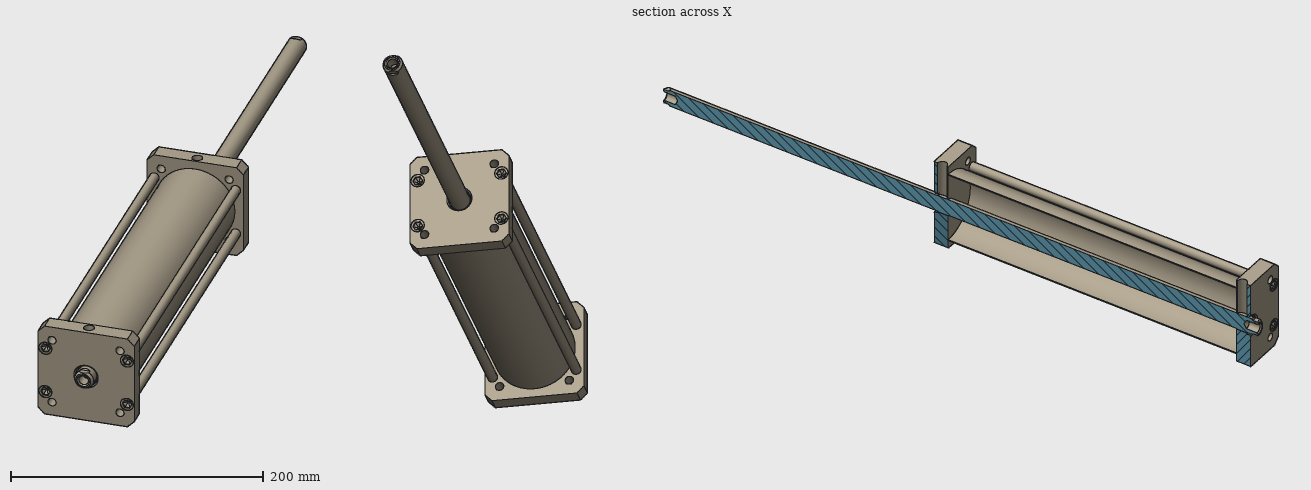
import cadquery as cq
import math

overall_length = 565.0
front_stickout = 7.5
cap_thickness = 13.5
tube_length = 273.5
cap_stack_length = tube_length + 2 * cap_thickness
stack_middle = (0, cap_stack_length / 2, 0)

cap_side = 80.0
cap_corner_chamfer = 5.5
port_diameter = 8.5
port_from_inner_face = 5.5
mount_hole_diameter = 7.0
mount_hole_offset = 28.0

tube_outer_diameter = 66.0
tube_bore = 63.0

tie_diameter = 8.0
tie_offset_x = 34.0
tie_offset_z = 20.0
tie_head_diameter = 11.0
tie_recess_depth = 5.5
tie_head_setback = 0.5
tie_socket_width = 7.0
tie_socket_depth = 1.0
tie_socket_point_length = 2.0
tie_socket_point_taper = 50.0

rod_diameter = 16.0
rod_flat_width = 13.5
rod_flat_length = 5.0
rod_chamfer_length = 2.0
rod_chamfer_radial = 1.5
rod_hole_diameter = 8.0
rod_hole_mouth_diameter = 10.0
rod_hole_depth = 11.5
rod_hole_tip_length = 2.0

gland_mouth_diameter = 20.5
gland_bore_diameter = 18.0
gland_depth = 3.5

axis_point = [(0, 0)]


def four_points(offset_x, offset_z):
    """Four (x, z) points placed symmetrically about the Y axis."""
    return [(x, z) for x in (-offset_x, offset_x) for z in (-offset_z, offset_z)]


tie_points = four_points(tie_offset_x, tie_offset_z)
mount_points = four_points(mount_hole_offset, mount_hole_offset)


def rods_along_y(points, diameter, start, length):
    """Cylinders along +Y from y = start, one at each (x, z) point."""
    plane = cq.Workplane("XZ", origin=(0, start, 0))
    return plane.pushPoints(points).circle(diameter / 2).extrude(-length)


def revolve_about_y(profile):
    """Solid of revolution from (radius, y) points."""
    return cq.Workplane("XY").polyline(profile).close().revolve(360, (0, 0, 0), (0, 1, 0))


def make_gland_cut():
    """Recess around the rod at y = 0, with a 45 degree mouth."""
    mouth_radius = gland_mouth_diameter / 2
    bore_radius = gland_bore_diameter / 2
    profile = [
        (0, 0),
        (mouth_radius, 0),
        (bore_radius, mouth_radius - bore_radius),
        (bore_radius, gland_depth),
        (0, gland_depth),
    ]
    return revolve_about_y(profile)


def make_front_cap():
    """Square cap with its outer face at y = 0 and its inner face toward +Y."""
    cap = cq.Workplane("XZ").rect(cap_side, cap_side).extrude(-cap_thickness)
    cap = cap.edges("|Y").chamfer(cap_corner_chamfer)
    cap = cap.cut(rods_along_y(mount_points, mount_hole_diameter, 0, cap_thickness))
    cap = cap.cut(rods_along_y(tie_points, tie_diameter, 0, cap_thickness))
    cap = cap.cut(rods_along_y(tie_points, tie_head_diameter, 0, tie_recess_depth))
    cap = cap.cut(rods_along_y(axis_point, rod_diameter, 0, cap_thickness))
    cap = cap.cut(make_gland_cut())
    port_origin = (0, cap_thickness - port_from_inner_face, cap_side / 2)
    port = cq.Workplane("XY", origin=port_origin).circle(port_diameter / 2).extrude(-cap_side / 2)
    return cap.cut(port)


def make_rear_cap():
    """Mirror image of the front cap at the far end of the tube."""
    return make_front_cap().mirror("XZ", stack_middle)


def make_tube():
    """Plain tube between the inner faces of the caps."""
    ring = cq.Workplane("XZ", origin=(0, cap_thickness, 0))
    ring = ring.circle(tube_outer_diameter / 2).circle(tube_bore / 2)
    return ring.extrude(-tube_length)


def make_tie_head(point):
    """Round head in the front cap recess, with a pointed hexagon socket."""
    head_length = tie_recess_depth - tie_head_setback
    head = rods_along_y([point], tie_head_diameter, tie_head_setback, head_length)
    corner_diameter = tie_socket_width / math.cos(math.radians(30))
    point_start = tie_head_setback + tie_socket_depth
    socket = cq.Workplane("XZ", origin=(0, tie_head_setback, 0)).pushPoints([point])
    socket = socket.polygon(6, corner_diameter).extrude(-tie_socket_depth)
    socket_point = cq.Workplane("XZ", origin=(0, point_start, 0)).pushPoints([point])
    socket_point = socket_point.polygon(6, corner_diameter)
    socket_point = socket_point.extrude(-tie_socket_point_length, taper=tie_socket_point_taper)
    return head.cut(socket).cut(socket_point)


def make_tie_rod(point):
    """Tie rod through both caps, with a socket head at each end."""
    shank_length = cap_stack_length - 2 * tie_recess_depth
    shank = rods_along_y([point], tie_diameter, tie_recess_depth, shank_length)
    head = make_tie_head(point)
    return shank.union(head).union(head.mirror("XZ", stack_middle))


def make_rod_hole():
    """Centre hole entering at y = 0, with a countersunk mouth and a conical bottom."""
    radius = rod_hole_diameter / 2
    mouth_radius = rod_hole_mouth_diameter / 2
    profile = [
        (0, 0),
        (mouth_radius, 0),
        (radius, mouth_radius - radius),
        (radius, rod_hole_depth),
        (0, rod_hole_depth + rod_hole_tip_length),
    ]
    return revolve_about_y(profile)


def make_rod_flat_cut():
    """Cutter for the upper flat from y = 0, running out at 45 degrees."""
    flat_z = rod_flat_width / 2
    top_z = rod_diameter
    runout_end = rod_flat_length + top_z - flat_z
    profile = [(0, flat_z), (rod_flat_length, flat_z), (runout_end, top_z), (0, top_z)]
    return cq.Workplane("YZ").polyline(profile).close().extrude(rod_diameter, both=True)


def make_piston_rod():
    """Rod through both caps; each end has a chamfer, two flats and a centre hole."""
    start = -front_stickout
    rod_middle = (0, start + overall_length / 2, 0)
    rod = rods_along_y(axis_point, rod_diameter, start, overall_length)
    rod = rod.faces("<Y or >Y").chamfer(rod_chamfer_length, rod_chamfer_radial)

    upper_flat = make_rod_flat_cut()
    end_cuts = [make_rod_hole(), upper_flat, upper_flat.mirror("XY")]
    for end_cut in end_cuts:
        front_cut = end_cut.translate((0, start, 0))
        rod = rod.cut(front_cut).cut(front_cut.mirror("XZ", rod_middle))
    return rod


front_cap = make_front_cap()
rear_cap = make_rear_cap()
tube = make_tube()
piston_rod = make_piston_rod()
tie_rods = [make_tie_rod(point) for point in tie_points]

result = cq.Compound.makeCompound([
    front_cap.val(),
    rear_cap.val(),
    tube.val(),
    piston_rod.val(),
    *[tie_rod.val() for tie_rod in tie_rods],
])